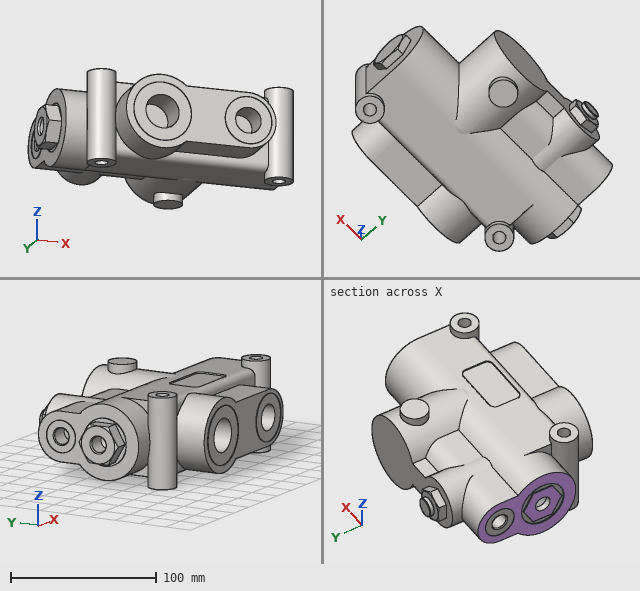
import cadquery as cq
import math


body_length = 162.25
main_radius = 27.0
lobe_offset = 34.9
lobe_radius = 18.0
front_face_y = -60.5
rear_face_y = 60.5

plate_start_x = 24.0
plate_front_y = -36.2
plate_edge_radius = 5.0

lug_diameter = 20.0
lug_hole_diameter = 9.0
lug_height = 65.0
lug_y = -32.0
lug_spacing = 129.5
lug_xs = (plate_start_x, plate_start_x + lug_spacing)

large_port_x = 58.8
large_port_boss_radius = 26.5
small_port_x = 121.5
small_port_boss_radius = 20.0
large_port_hole = 24.12
large_port_depth = 24.0
large_port_spotface = 42.0
small_port_hole = 18.63
small_port_depth = 20.0
small_port_spotface = 34.0
spotface_depth = 0.5

rear_large_x = 98.7
rear_large_radius = 27.5
rear_large_end_y = 1.75
rear_taper_length = 2.25
rear_taper_drop = 0.55
rear_small_x = 40.0
rear_small_radius = 19.0
rear_web_thickness = 20.0
seam_turn = -90.0

stub_diameter = 20.0
stub_height = lug_height
stub_y = 42.8

plug_across_flats = 27.0
plug_spotface = 34.0
plug_spotface_depth = 1.0
left_plug_height = 9.25
right_plug_height = 6.0
hex_crown_inset = 0.5
hex_chamfer_angle = 20.0

side_hole_diameter = 11.45
side_hole_mouth = 12.8
side_hole_depth = 14.0
lobe_mouth_depth = 0.9
plug_mouth_depth = 1.5
drill_point_angle = 118.0
lobe_spotface = 23.0

nut_across_flats = 22.0
nut_height = 6.5
screw_neck_diameter = 10.0
screw_neck_length = 0.5
screw_head_diameter = 14.0
screw_head_height = 3.7
screw_head_chamfer = 0.5

label_length = 43.0
label_width = 24.0
label_corner_radius = 4.5
label_depth = 1.0
label_x = 96.9
label_y = -18.2

X_DIR = cq.Vector(1, 0, 0)
Y_DIR = cq.Vector(0, 1, 0)
Z_DIR = cq.Vector(0, 0, 1)


def cylinder(start, direction, diameter, length):
    """Solid cylinder from a start point along a direction."""
    return cq.Workplane(cq.Solid.makeCylinder(diameter / 2, length, cq.Vector(*start), direction))


def cone(start, direction, start_diameter, end_diameter, length):
    """Solid cone or frustum from a start point along a direction."""
    return cq.Workplane(
        cq.Solid.makeCone(start_diameter / 2, end_diameter / 2, length, cq.Vector(*start), direction)
    )


def box(x_range, y_range, z_range):
    """Box between the given limits."""
    sizes = [high - low for low, high in (x_range, y_range, z_range)]
    corner = (x_range[0], y_range[0], z_range[0])
    return cq.Workplane("XY").box(*sizes, centered=False).translate(corner)


def hexagon(start, direction, corner_direction, across_flats, height):
    """Hexagonal prism whose corners are turned off conically at its outer end."""
    corner_radius = across_flats / 2 / math.cos(math.radians(30))
    plane = cq.Plane(origin=start, xDir=corner_direction, normal=direction)
    prism = cq.Workplane(plane).polygon(6, 2 * corner_radius).extrude(height)
    crown_diameter = across_flats - hex_crown_inset
    drop = (corner_radius - crown_diameter / 2) * math.tan(math.radians(hex_chamfer_angle))
    shank = cylinder(start, direction, 2 * corner_radius, height - drop)
    shoulder = (cq.Vector(*start) + direction * (height - drop)).toTuple()
    crown = cone(shoulder, direction, 2 * corner_radius, crown_diameter, drop)
    return prism.intersect(shank.union(crown))


def make_body():
    main = cylinder((0, 0, 0), X_DIR, 2 * main_radius, body_length)
    lobe = cylinder((0, lobe_offset, 0), X_DIR, 2 * lobe_radius, rear_large_x)
    lobe_web = box((0, rear_large_x), (0, lobe_offset), (-lobe_radius, lobe_radius))
    plate = box((plate_start_x, body_length), (plate_front_y, 0), (-main_radius, main_radius))
    plate = plate.edges("|X and <Y").fillet(plate_edge_radius)
    return main.union(lobe).union(lobe_web).union(plate)


def make_front_boss():
    depth = -front_face_y
    large = cylinder((large_port_x, front_face_y, 0), Y_DIR, 2 * large_port_boss_radius, depth)
    small = cylinder((small_port_x, front_face_y, 0), Y_DIR, 2 * small_port_boss_radius, depth)
    web = box(
        (large_port_x, small_port_x),
        (front_face_y, 0),
        (-small_port_boss_radius, small_port_boss_radius),
    )
    return large.union(small).union(web)


def make_rear_bosses():
    large = cylinder(
        (rear_large_x, rear_large_end_y, 0), Y_DIR, 2 * rear_large_radius, rear_face_y - rear_large_end_y
    )
    taper = cone(
        (rear_large_x, rear_large_end_y, 0),
        -Y_DIR,
        2 * rear_large_radius,
        2 * (rear_large_radius - rear_taper_drop),
        rear_taper_length,
    )
    axis_start = (rear_large_x, 0, 0)
    axis_end = (rear_large_x, 1, 0)
    large = large.union(taper).rotate(axis_start, axis_end, seam_turn)
    small = cylinder((rear_small_x, 0, 0), Y_DIR, 2 * rear_small_radius, rear_face_y)
    web = box(
        (rear_small_x, rear_large_x),
        (lobe_offset, rear_face_y),
        (-rear_web_thickness / 2, rear_web_thickness / 2),
    )
    stubs = cylinder((rear_large_x, stub_y, -stub_height / 2), Z_DIR, stub_diameter, stub_height)
    return large.union(small).union(web).union(stubs)


def make_locknut_and_screw():
    nut = hexagon((rear_small_x, rear_face_y, 0), Y_DIR, Z_DIR, nut_across_flats, nut_height)
    neck_y = rear_face_y + nut_height
    neck = cylinder((rear_small_x, neck_y, 0), Y_DIR, screw_neck_diameter, screw_neck_length)
    head_y = neck_y + screw_neck_length
    head = cylinder((rear_small_x, head_y, 0), Y_DIR, screw_head_diameter, screw_head_height)
    head = head.edges().chamfer(screw_head_chamfer)
    return nut.union(neck).union(head)


def port(x, diameter, depth, spotface):
    """Cutter for a front port: shallow spotface and flat-bottomed hole."""
    face = cylinder((x, front_face_y, 0), Y_DIR, spotface, spotface_depth)
    return face.union(cylinder((x, front_face_y, 0), Y_DIR, diameter, depth))


def side_hole(x, y, mouth_depth):
    """Cutter for a side port: hole with a countersunk mouth."""
    hole = cylinder((x, y, 0), X_DIR, side_hole_diameter, side_hole_depth)
    return hole.union(cone((x, y, 0), X_DIR, side_hole_mouth, side_hole_diameter, mouth_depth))


def make_label_recess():
    floor_z = main_radius - label_depth
    recess = cq.Workplane("XY", origin=(label_x, label_y, floor_z)).rect(label_length, label_width)
    return recess.extrude(label_depth).edges("|Z").fillet(label_corner_radius)


result = make_body().union(make_front_boss()).union(make_rear_bosses())

for lug_x in lug_xs:
    result = result.union(cylinder((lug_x, lug_y, -lug_height / 2), Z_DIR, lug_diameter, lug_height))
for lug_x in lug_xs:
    result = result.cut(cylinder((lug_x, lug_y, -lug_height / 2), Z_DIR, lug_hole_diameter, lug_height))

result = result.cut(port(large_port_x, large_port_hole, large_port_depth, large_port_spotface))
result = result.cut(port(small_port_x, small_port_hole, small_port_depth, small_port_spotface))
result = result.cut(make_label_recess())

result = result.cut(cylinder((0, 0, 0), X_DIR, plug_spotface, plug_spotface_depth))
result = result.cut(cylinder((0, lobe_offset, 0), X_DIR, lobe_spotface, spotface_depth))
result = result.union(
    hexagon(
        (plug_spotface_depth, 0, 0),
        -X_DIR,
        Y_DIR,
        plug_across_flats,
        left_plug_height + plug_spotface_depth,
    )
)
result = result.union(hexagon((body_length, 0, 0), X_DIR, Y_DIR, plug_across_flats, right_plug_height))

result = result.cut(side_hole(spotface_depth, lobe_offset, lobe_mouth_depth))
result = result.cut(side_hole(-left_plug_height, 0, plug_mouth_depth))
drill_point_length = side_hole_diameter / 2 / math.tan(math.radians(drill_point_angle / 2))
drill_point_x = side_hole_depth - left_plug_height
result = result.cut(cone((drill_point_x, 0, 0), X_DIR, side_hole_diameter, 0, drill_point_length))

result = result.union(make_locknut_and_screw())